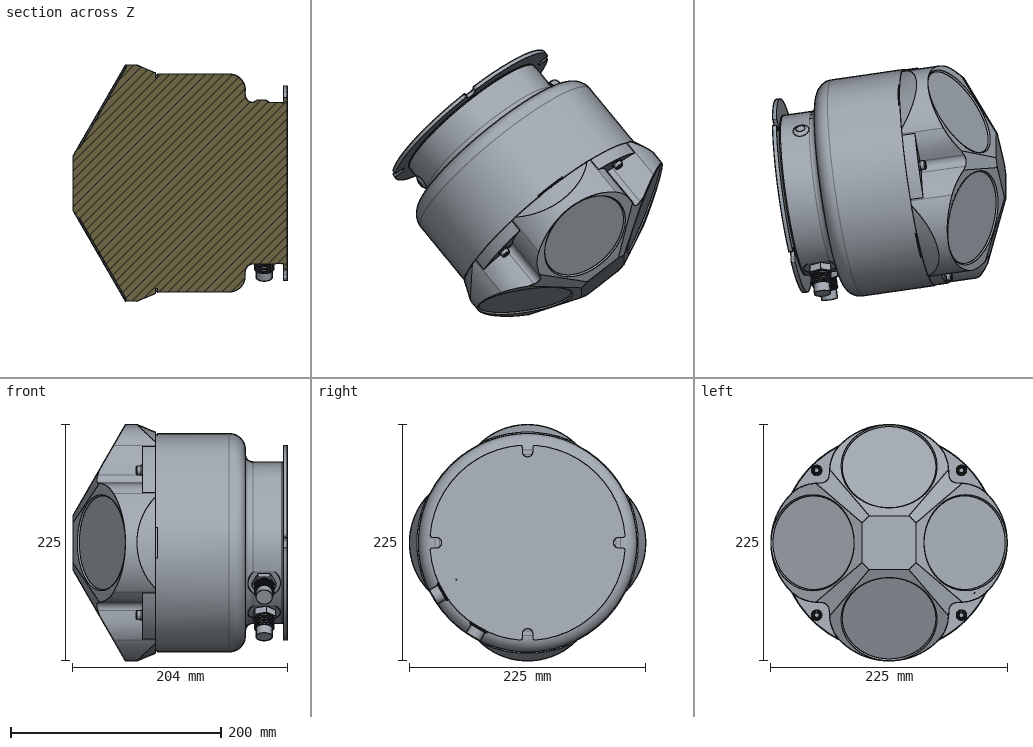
import cadquery as cq
import math


body_radius = 104.0
body_start = 78.8
body_end = 164.2
body_edge_fillet = 15.5
neck_radius = 77.0
neck_fillet = 7.0
neck_end = 199.1
relief_radius = 76.7
flange_radius = 93.0
flange_thickness = 3.8
total_length = 204.0
flange_start = total_length - flange_thickness

lobe_count = 4
lobe_step = 360 / lobe_count
head_radius = 112.5
crown_radius = 65.7
crown_half_angle = 45.7
lobe_half_width = 57.0
lobe_side_fillet = 7.6
lobe_flank_end = lobe_half_width + lobe_side_fillet
pad_face = 66.4
pad_radius = 103.5
rim_cone_start = 61.0
rim_cone_angle = 22

lens_face_start = 25.6
lens_face_slope = math.tan(math.radians(30))
ridge_face_start = 31.5
ridge_face_slope = 0.44

lens_center_radius = 72.7
lens_radius = 45.7
lens_floor_radius = 44.5
lens_depth = 1.5

screw_offset = 68.8
washer_diameter = 10.0
washer_thickness = 1.4
screw_head_diameter = 8.5
screw_head_height = 5.0
screw_head_chamfer = 1.1
socket_diameter = 5.0
socket_depth = 3.2

pry_slot_width = 29.2
pry_slot_length = 1.5
pry_slot_depth = 3.4

notch_width = 10.0
notch_center_radius = 86.6
notch_mouth_fillet = 2.2

connector_x = 182.0
seat_diameter = 31.0
seat_radius = 76.0
nut_diameter = 23.0
nut_height = 6.8
thread_diameter = 19.0
thread_root_diameter = 17.5
thread_end_radius = 94.3
thread_turns = 6
plug_diameter = 15.5
connector_end_radius = 103.3
connector_angles = ((120, 0), (150, 19.5))

cap_x = 179.3
cap_base_diameter = 18
cap_top_diameter = 8.5
cap_top_radius = 79.2
cap_height = 3.2


def around_axis(shape, angle):
    return shape.rotate((0, 0, 0), (1, 0, 0), angle)


def x_cylinder(diameter, start, length):
    return cq.Workplane("YZ", origin=(start, 0, 0)).circle(diameter / 2).extrude(length)


def make_housing():
    outline = (
        cq.Workplane("XY")
        .moveTo(body_start, 0)
        .lineTo(body_start, body_radius)
        .lineTo(body_end - body_edge_fillet, body_radius)
        .radiusArc((body_end, body_radius - body_edge_fillet), body_edge_fillet)
        .lineTo(body_end, neck_radius + neck_fillet)
        .radiusArc((body_end + neck_fillet, neck_radius), -neck_fillet)
        .lineTo(neck_end, neck_radius)
        .lineTo(neck_end, relief_radius)
        .lineTo(flange_start, relief_radius)
        .lineTo(flange_start, flange_radius)
        .lineTo(total_length, flange_radius)
        .lineTo(total_length, 0)
        .close()
    )
    return outline.revolve(360, (0, 0, 0), (1, 0, 0))


def turned(point, angle):
    """The point turned clockwise about the origin of its sketch."""
    cosine = math.cos(math.radians(angle))
    sine = math.sin(math.radians(angle))
    return (point[0] * cosine + point[1] * sine, point[1] * cosine - point[0] * sine)


def make_lobes():
    """Prism of all lobes. Each has a round crown between two flanks that turn parallel to its
    own middle, and a concave fillet joins it to the next lobe."""
    half_angle = math.radians(crown_half_angle)
    crown_side = crown_radius * math.sin(half_angle)
    crown_height = head_radius - crown_radius * (1 - math.cos(half_angle))
    flank_start = (-lobe_half_width, lobe_flank_end)
    outline = cq.Workplane("YZ").moveTo(*flank_start)
    for index in range(lobe_count):
        angle = index * lobe_step
        crown_start = turned((-crown_side, crown_height), angle)
        crown_top = turned((0, head_radius), angle)
        crown_end = turned((crown_side, crown_height), angle)
        flank_end = turned((lobe_half_width, lobe_flank_end), angle)
        next_start = turned(flank_start, angle + lobe_step)
        along = turned((0, 1), angle)
        along_back = turned((0, -1), angle)
        onto_crown = turned((1, math.tan(half_angle)), angle)
        off_crown = turned((1, -math.tan(half_angle)), angle)
        outline = (
            outline
            .spline([crown_start], [along, onto_crown], includeCurrent=True)
            .threePointArc(crown_top, crown_end)
            .spline([flank_end], [off_crown, along_back], includeCurrent=True)
            .radiusArc(next_start, -lobe_side_fillet)
        )
    return outline.close().extrude(body_start)


def make_slope_cutter(start_radius, slope):
    """Wedge above a plane that leans back from the front face as it runs out toward +Z."""
    reach = 2 * head_radius
    overshoot = 2.2
    return (
        cq.Workplane("XZ")
        .moveTo(-overshoot, start_radius - overshoot / slope)
        .lineTo(slope * (reach - start_radius), reach)
        .lineTo(-overshoot, reach)
        .close()
        .extrude(head_radius, both=True)
    )


def make_lens_recess():
    """Recess in the +Z lens face, tapering to its floor."""
    center_x = lens_face_slope * (lens_center_radius - lens_face_start)
    face_plane = cq.Plane(origin=(center_x, 0, lens_center_radius), xDir=(0, 1, 0),
                          normal=(1, 0, -lens_face_slope))
    return (
        cq.Workplane(face_plane)
        .circle(lens_radius)
        .workplane(offset=lens_depth)
        .circle(lens_floor_radius)
        .loft()
    )


def make_rim_envelope():
    """Revolved envelope that bevels the back of the lobes down to the housing."""
    rim_cone_drop = (body_start - rim_cone_start) * math.tan(math.radians(rim_cone_angle))
    rim_end_radius = head_radius - rim_cone_drop
    return (
        cq.Workplane("XY")
        .polyline([(0, 0), (0, head_radius), (rim_cone_start, head_radius),
                   (body_start, rim_end_radius), (body_start, 0)])
        .close()
        .revolve(360, (0, 0, 0), (1, 0, 0))
    )


def make_head():
    head = make_lobes()
    head = head.union(x_cylinder(2 * pad_radius, pad_face, body_start - pad_face))
    head = head.intersect(make_rim_envelope())
    lens_face_cutter = make_slope_cutter(lens_face_start, lens_face_slope)
    ridge_face_cutter = make_slope_cutter(ridge_face_start, ridge_face_slope)
    for index in range(lobe_count):
        angle = index * lobe_step
        head = head.cut(around_axis(lens_face_cutter, angle))
        head = head.cut(around_axis(ridge_face_cutter, angle + lobe_step / 2))
        head = head.cut(around_axis(make_lens_recess(), angle))
    return head


def make_screw():
    """Socket head screw on a washer, centred on the X axis, its head facing -X."""
    washer_face = pad_face - washer_thickness
    head_face = washer_face - screw_head_height
    screw = x_cylinder(screw_head_diameter, head_face, screw_head_height)
    screw = screw.faces("<X").chamfer(screw_head_chamfer)
    screw = screw.union(x_cylinder(washer_diameter, washer_face, washer_thickness))
    socket = cq.Workplane("YZ", origin=(head_face, 0, 0)).polygon(6, socket_diameter).extrude(socket_depth)
    return screw.cut(socket)


def make_pry_slot():
    return (
        cq.Workplane("XY")
        .box(pry_slot_length, pry_slot_width, 2 * pry_slot_depth, centered=(False, True, True))
        .translate((body_start, 0, body_radius))
    )


def make_flange_notch():
    """Round-ended notch open toward +Z, its mouth rounded out to the rim."""
    half_width = notch_width / 2
    mouth_half_width = half_width + notch_mouth_fillet
    fillet_start = math.sqrt(flange_radius**2 - mouth_half_width**2) - notch_mouth_fillet
    mouth_radius = fillet_start + notch_mouth_fillet
    return (
        cq.Workplane("YZ", origin=(flange_start, 0, 0))
        .moveTo(-half_width, notch_center_radius)
        .lineTo(-half_width, fillet_start)
        .radiusArc((-mouth_half_width, mouth_radius), -notch_mouth_fillet)
        .lineTo(-mouth_half_width, head_radius)
        .lineTo(mouth_half_width, head_radius)
        .lineTo(mouth_half_width, mouth_radius)
        .radiusArc((half_width, fillet_start), -notch_mouth_fillet)
        .lineTo(half_width, notch_center_radius)
        .threePointArc((0, notch_center_radius - half_width), (-half_width, notch_center_radius))
        .close()
        .extrude(flange_thickness)
    )


def z_workplane(x, height):
    return cq.Workplane("XY", origin=(x, 0, height))


def make_connector(nut_turn):
    """Connector pointing to +Z: hexagon nut, ribbed thread and smooth plug."""
    nut_top = seat_radius + nut_height
    nut = z_workplane(0, seat_radius).polygon(6, nut_diameter).extrude(nut_height)
    connector = nut.rotate((0, 0, 0), (0, 0, 1), nut_turn).translate((connector_x, 0, 0))

    pitch = (thread_end_radius - nut_top) / thread_turns
    thread_profile = cq.Workplane("XZ").moveTo(0, nut_top).lineTo(thread_root_diameter / 2, nut_top)
    for turn in range(thread_turns):
        base = nut_top + turn * pitch
        thread_profile = thread_profile.lineTo(thread_diameter / 2, base + pitch / 2)
        thread_profile = thread_profile.lineTo(thread_root_diameter / 2, base + pitch)
    thread = thread_profile.lineTo(0, thread_end_radius).close().revolve(360, (0, 0, 0), (0, 1, 0))
    connector = connector.union(thread.translate((connector_x, 0, 0)))

    plug_length = connector_end_radius - seat_radius
    plug = z_workplane(connector_x, seat_radius).circle(plug_diameter / 2).extrude(plug_length)
    return connector.union(plug)


def make_connector_seat():
    return z_workplane(connector_x, seat_radius).circle(seat_diameter / 2).extrude(body_radius - seat_radius)


def make_cap():
    """Tapered cap on the +Y side of the neck."""
    return (
        cq.Workplane("XZ", origin=(cap_x, cap_top_radius, 0))
        .circle(cap_top_diameter / 2)
        .workplane(offset=cap_height)
        .circle(cap_base_diameter / 2)
        .loft()
    )


result = make_housing().union(make_head())

for index in range(lobe_count):
    angle = index * lobe_step
    screw = make_screw().translate((0, screw_offset, screw_offset))
    result = result.union(around_axis(screw, angle))
    result = result.cut(around_axis(make_pry_slot(), angle))
    result = result.cut(around_axis(make_flange_notch(), angle))

for connector_angle, nut_turn in connector_angles:
    result = result.cut(around_axis(make_connector_seat(), connector_angle))
    result = result.union(around_axis(make_connector(nut_turn), connector_angle))

result = result.union(make_cap())